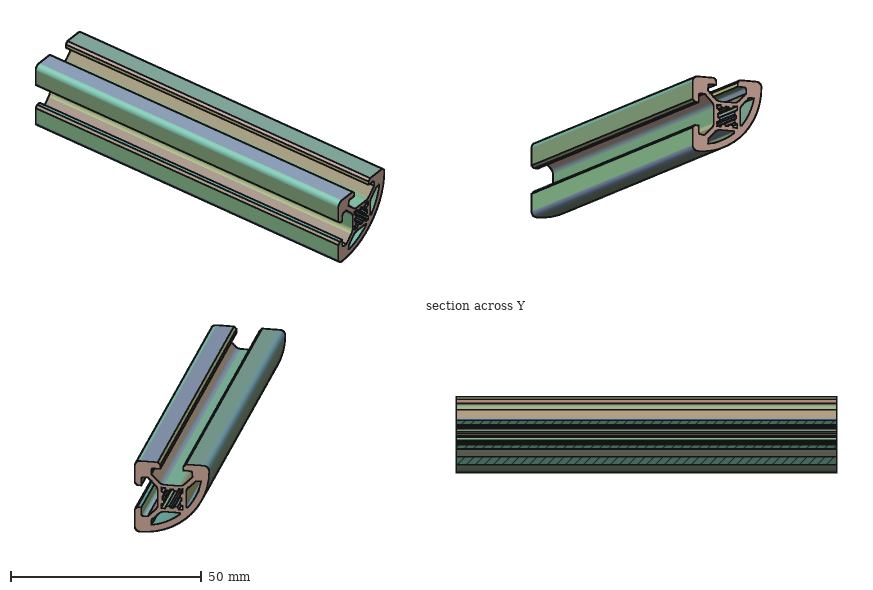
import cadquery as cq
import math

length = 100.0
side = 20.0
half = side / 2
corner_radius = 1.5
arc_radius = side - corner_radius
rim_thickness = 1.9

slot_half_width = 3.1
lip_thickness = 1.8
lip_chamfer = 0.7
cavity_half_width = 5.5
cavity_corner_radius = 0.6
web_offset = 1.0
floor_height = 3.8
floor_half_width = 2.0
web_foot = 3.4
void_corner_radius = 0.3

bore_half = 2.9
tooth_center = 1.1
tooth_tip_half = 0.4
tooth_root_half = 0.8
tooth_tip_height = 2.2
tooth_valley_height = 2.6


def turn(solid, angle):
    """Rotate a solid about the bar axis."""
    return solid.rotate((0, 0, 0), (1, 0, 0), angle)


def extrude(sketch):
    return sketch.extrude(length / 2, both=True)


def outer_bar():
    """Square bar whose +Y, -Z corner is a large arc."""
    flat = half - corner_radius
    arc_mid = arc_radius * math.sqrt(0.5) - flat
    profile = (
        cq.Workplane("YZ")
        .moveTo(half, flat)
        .radiusArc((flat, half), -corner_radius)
        .lineTo(-flat, half)
        .radiusArc((-half, flat), -corner_radius)
        .lineTo(-half, -flat)
        .radiusArc((-flat, -half), -corner_radius)
        .threePointArc((arc_mid, -arc_mid), (half, flat))
        .close()
    )
    return extrude(profile)


def cavity():
    """Wide inner part of a T-slot, between lips, webs and floor."""
    top = half - lip_thickness
    shoulder = cavity_half_width + web_offset
    foot_height = web_foot + web_offset
    run = web_foot - floor_half_width
    rise = foot_height - floor_height
    floor_radius = (run**2 + rise**2) / (2 * rise)
    profile = (
        cq.Workplane("YZ")
        .moveTo(-cavity_half_width, top)
        .lineTo(-cavity_half_width, shoulder)
        .lineTo(-web_foot, foot_height)
        .radiusArc((-floor_half_width, floor_height), -floor_radius)
        .lineTo(floor_half_width, floor_height)
        .radiusArc((web_foot, foot_height), -floor_radius)
        .lineTo(cavity_half_width, shoulder)
        .lineTo(cavity_half_width, top)
        .close()
    )
    return extrude(profile).edges("|X").edges(">Z").fillet(cavity_corner_radius)


def slot_mouth():
    """Opening between the lips, flared by their chamfered outer edges."""
    bottom = half - lip_thickness
    flare_half = slot_half_width + lip_chamfer
    profile = (
        cq.Workplane("YZ")
        .moveTo(-slot_half_width, bottom)
        .lineTo(-slot_half_width, half - lip_chamfer)
        .lineTo(-flare_half, half)
        .lineTo(flare_half, half)
        .lineTo(slot_half_width, half - lip_chamfer)
        .lineTo(slot_half_width, bottom)
        .close()
    )
    return extrude(profile)


def side_void():
    """Closed void on the +Y side: a slot cavity cut short by the curved rim."""
    arc_center = half - corner_radius
    disc = extrude(
        cq.Workplane("YZ").center(-arc_center, arc_center).circle(arc_radius - rim_thickness)
    )
    void = turn(cavity(), -90).intersect(disc)
    return void.edges("|X").edges(">Z or <Z").fillet(void_corner_radius)


def bore():
    """Square central bore with two teeth on each side."""
    solid = extrude(cq.Workplane("YZ").rect(2 * bore_half, 2 * bore_half))
    tip_outer = tooth_center + tooth_tip_half
    tip_inner = tooth_center - tooth_tip_half
    root_outer = tooth_center + tooth_root_half
    root_inner = tooth_center - tooth_root_half
    teeth = extrude(cq.Workplane("YZ").polyline([
        (-root_outer, bore_half),
        (-tip_outer, tooth_tip_height),
        (-tip_inner, tooth_tip_height),
        (-root_inner, tooth_valley_height),
        (root_inner, tooth_valley_height),
        (tip_inner, tooth_tip_height),
        (tip_outer, tooth_tip_height),
        (root_outer, bore_half),
    ]).close())
    for angle in (0, 90, 180, 270):
        solid = solid.cut(turn(teeth, angle))
    return solid


slot = cavity().union(slot_mouth())
void = side_void()
mirrored_void = turn(void.mirror("XY"), -90)

result = outer_bar().cut(bore())
for angle in (0, 90):
    result = result.cut(turn(slot, angle))
for pocket in (void, mirrored_void):
    result = result.cut(pocket)